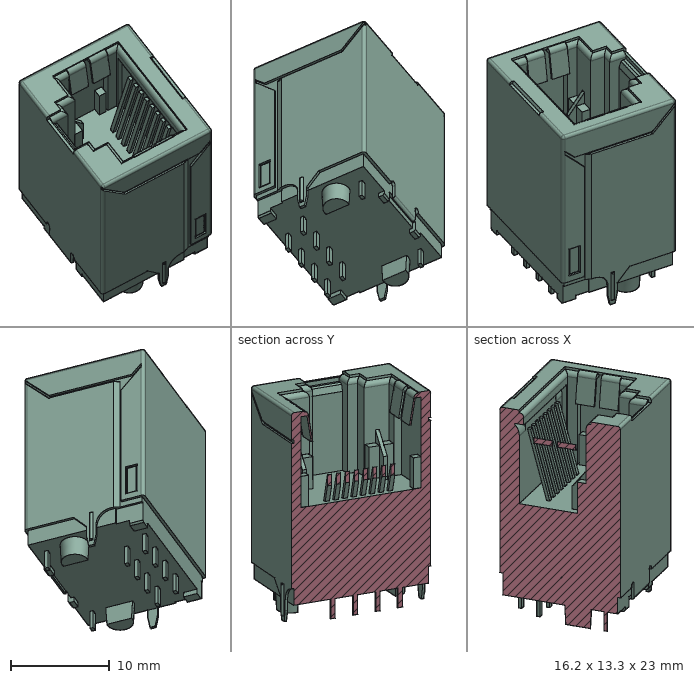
import cadquery as cq
import math


WIDTH = 15.8
DEPTH = 13.3
HEIGHT = 22.97
SHEET = 0.28
WALL = 0.32
BEND_RADIUS = 0.32
SHIELD_BOTTOM = 4.02
BACK_BOTTOM = 4.62
SIDE_X = WIDTH / 2
FRONT_Y = -DEPTH / 2
BACK_Y = DEPTH / 2
GROOVE_DEPTH = 0.25

HOUSING_FRONT_X = SIDE_X - SHEET
HOUSING_REAR_X = 7.45
HOUSING_SPLIT_Y = 3.38
HOUSING_FRONT_Y = FRONT_Y + WALL
HOUSING_BACK_Y = BACK_Y - WALL
HOUSING_TOP = HEIGHT - SHEET
HOUSING_BOTTOM = 2.2
FOOT_BOTTOM = 1.65
FOOT_CHAMFER = 0.18

TONGUE_X = 1.98

MOUTH_X = 6.45
MOUTH_STEP_X = 3.63
LATCH_X = 2.5
MOUTH_BACK_Y = 4.5
MOUTH_FRONT_Y = -3.38
MOUTH_STEP_Y = -4.96
LIP_RADIUS = 0.53
SOCKET_FLOOR = 12.63
LATCH_NOTCH_Z = 22.42
SOCKET_X = MOUTH_X - LIP_RADIUS
SOCKET_BACK_Y = MOUTH_BACK_Y - LIP_RADIUS
SOCKET_FRONT_Y = MOUTH_FRONT_Y + LIP_RADIUS

FINGER_WIDTH = 2.05
FINGER_STARTS = (-1.75, 0.87)
FINGER_REACH_X = 5.45
FINGER_BOTTOM = 19.52
FINGER_SHEET = 0.23
POCKET_X = 6.78

CONTACT_COUNT = 8
CONTACT_SPAN = 7.15
CONTACT_PITCH = CONTACT_SPAN / (CONTACT_COUNT - 1)
CONTACT_WIDTH = 0.48
CONTACT_SHEET = 0.35
CONTACT_TOP = 20.21
CONTACT_FRONT_Y = 1.85

PIN_SPAN = 8.9
PIN_PITCH = PIN_SPAN / (CONTACT_COUNT - 1)
PIN_WIDTH = 0.55
PIN_SHEET = 0.37
PIN_BOTTOM = 0.1
PIN_ROWS_Y = (2.73, 5.28)
LED_PIN_X = 5.72
LED_PIN_Y = -5.0

PEG_X = 5.72
PEG_Y = -1.98
PEG_FLAT_X = 5.51
PEG_TOP_RADIUS = 1.5
PEG_TIP_RADIUS = 1.38


def block(x0, x1, y0, y1, z0, z1):
    return cq.Workplane("XY").box(x1 - x0, y1 - y0, z1 - z0, centered=False).translate((x0, y0, z0))


def both_sides(shape):
    return shape.union(shape.mirror("YZ"))


def mouth_points(inset, front_y):
    """Stepped socket outline, pulled inward by the inset and running out at front_y."""
    right = [
        (LATCH_X - inset, front_y),
        (LATCH_X - inset, MOUTH_STEP_Y + inset),
        (MOUTH_STEP_X - inset, MOUTH_STEP_Y + inset),
        (MOUTH_STEP_X - inset, MOUTH_FRONT_Y + inset),
        (MOUTH_X - inset, MOUTH_FRONT_Y + inset),
        (MOUTH_X - inset, MOUTH_BACK_Y - inset),
    ]
    return right + [(-x, y) for x, y in reversed(right)]


def make_housing():
    front = block(-HOUSING_FRONT_X, HOUSING_FRONT_X, HOUSING_FRONT_Y, HOUSING_SPLIT_Y,
                  HOUSING_BOTTOM, HOUSING_TOP)
    rear = block(-HOUSING_REAR_X, HOUSING_REAR_X, HOUSING_SPLIT_Y, HOUSING_BACK_Y,
                 HOUSING_BOTTOM, HOUSING_TOP)
    housing = front.union(rear)
    socket = (cq.Workplane("XY").workplane(offset=SOCKET_FLOOR)
              .polyline(mouth_points(LIP_RADIUS, FRONT_Y)).close().extrude(HEIGHT - SOCKET_FLOOR))
    housing = housing.cut(socket)
    margin = 0.02
    lip_box = cq.selectors.BoxSelector(
        (-MOUTH_X, HOUSING_FRONT_Y + margin, HOUSING_TOP - margin),
        (MOUTH_X, MOUTH_BACK_Y, HOUSING_TOP + margin))
    housing = housing.edges(lip_box).fillet(LIP_RADIUS)
    return housing.union(make_latch_sill())


def make_latch_sill():
    """Wall closing the front of the latch channel, with a bevelled inner edge."""
    sill_top = 21.95
    inner_y = -5.51
    profile = [
        (HOUSING_FRONT_Y, HOUSING_BOTTOM),
        (HOUSING_FRONT_Y, sill_top),
        (inner_y - 0.48, sill_top),
        (inner_y - 0.23, sill_top - 0.14),
        (inner_y, sill_top - 0.83),
        (inner_y, HOUSING_BOTTOM),
    ]
    return cq.Workplane("YZ").polyline(profile).close().extrude(LATCH_X, both=True)


def make_side_pocket():
    """Recess beside the socket for the spring fingers, with a stop block left standing in it."""
    y_start = FINGER_STARTS[0]
    y_end = FINGER_STARTS[-1] + FINGER_WIDTH
    pocket = block(FINGER_REACH_X, POCKET_X, y_start, y_end, SOCKET_FLOOR, HOUSING_TOP)
    stop_front_y, stop_back_y, stop_top = 1.88, 2.7, 15.96
    stop = block(SOCKET_X, POCKET_X, stop_front_y, stop_back_y, SOCKET_FLOOR, stop_top)
    return both_sides(pocket.cut(stop))


def make_contact_recess():
    """Shallow recess in the rear socket wall, scooped deeper over a rounded sill at its upper corners."""
    half_width = 5.63
    top = 21.36
    wall_y = SOCKET_BACK_Y + 0.48
    recess = block(-half_width, half_width, SOCKET_BACK_Y, wall_y, SOCKET_FLOOR, top)
    scoop_inner_x, scoop_bottom, scoop_depth = 3.97, 20.1, 0.6
    rise = top - scoop_bottom
    scoop = (cq.Workplane("YZ", origin=(scoop_inner_x, 0, 0)).moveTo(wall_y, scoop_bottom)
             .threePointArc((wall_y + 0.3 * scoop_depth, scoop_bottom + 0.6 * rise),
                            (wall_y + scoop_depth, top))
             .lineTo(wall_y, top).close().extrude(half_width - scoop_inner_x))
    return recess.union(both_sides(scoop))


def make_socket_ledges():
    """Front corner ledges, each with a slim sloping rib across its top."""
    ledge_inner_x, ledge_back_y, ledge_top = 3.2, -1.88, 16.08
    ledge = block(ledge_inner_x, SOCKET_X, SOCKET_FRONT_Y, ledge_back_y, SOCKET_FLOOR, ledge_top)
    rib_x, rib_width, rib_back_y = 4.36, 0.44, -1.0
    rib_front_top, rib_back_top = 17.45, 15.15
    rib = (cq.Workplane("YZ", origin=(rib_x, 0, 0))
           .polyline([(SOCKET_FRONT_Y, SOCKET_FLOOR), (SOCKET_FRONT_Y, rib_front_top),
                      (rib_back_y, rib_back_top), (rib_back_y, SOCKET_FLOOR)])
           .close().extrude(rib_width))
    return both_sides(ledge.union(rib))


def make_contacts():
    profile = [
        (SOCKET_BACK_Y, CONTACT_TOP),
        (SOCKET_BACK_Y + CONTACT_SHEET, CONTACT_TOP),
        (CONTACT_FRONT_Y + CONTACT_SHEET, SOCKET_FLOOR),
        (CONTACT_FRONT_Y, SOCKET_FLOOR),
    ]
    bar = cq.Workplane("YZ").polyline(profile).close().extrude(CONTACT_WIDTH / 2, both=True)
    contacts = cq.Workplane("XY")
    for i in range(CONTACT_COUNT):
        contacts = contacts.union(bar.translate((i * CONTACT_PITCH - CONTACT_SPAN / 2, 0, 0)))
    return contacts


def make_feet():
    front_outer_x, front_back_y = 3.54, -5.65
    rear_inner_x, rear_front_y = 6.25, 4.82
    front = block(LATCH_X, front_outer_x, HOUSING_FRONT_Y, front_back_y, FOOT_BOTTOM, HOUSING_BOTTOM)
    front = front.edges("<Y and <Z").chamfer(FOOT_CHAMFER)
    rear = block(rear_inner_x, HOUSING_REAR_X, rear_front_y, HOUSING_BACK_Y, FOOT_BOTTOM, HOUSING_BOTTOM)
    rear = rear.edges(">X and <Z").chamfer(FOOT_CHAMFER)
    return both_sides(front.union(rear))


def make_pegs():
    """Tapered pegs cut flat on their inner side."""
    peg = (cq.Workplane("XY", origin=(PEG_X, PEG_Y, HOUSING_BOTTOM)).circle(PEG_TOP_RADIUS)
           .workplane(offset=PIN_BOTTOM - HOUSING_BOTTOM).circle(PEG_TIP_RADIUS).loft())
    kept_half = block(PEG_FLAT_X, SIDE_X, FRONT_Y, BACK_Y, PIN_BOTTOM, HOUSING_BOTTOM)
    return both_sides(peg.intersect(kept_half))


def make_pins():
    """Two staggered rows of signal pins plus one pin at each front corner."""
    places = [(i * PIN_PITCH - PIN_SPAN / 2, PIN_ROWS_Y[i % 2]) for i in range(CONTACT_COUNT)]
    places += [(-LED_PIN_X, LED_PIN_Y), (LED_PIN_X, LED_PIN_Y)]
    return (cq.Workplane("XY").workplane(offset=PIN_BOTTOM).pushPoints(places)
            .rect(PIN_WIDTH, PIN_SHEET).extrude(HOUSING_BOTTOM - PIN_BOTTOM))


def make_shield():
    """Outer skin of the shield with its mouth, latch notch and shorter back."""
    shield = block(-SIDE_X, SIDE_X, FRONT_Y, BACK_Y, SHIELD_BOTTOM, HEIGHT)
    shield = shield.edges("|Z or >Z").fillet(BEND_RADIUS)
    shield = shield.cut(block(-SIDE_X, SIDE_X, HOUSING_BACK_Y, BACK_Y, SHIELD_BOTTOM, BACK_BOTTOM))
    inner = block(-HOUSING_REAR_X, HOUSING_REAR_X, HOUSING_FRONT_Y, HOUSING_BACK_Y,
                  SHIELD_BOTTOM, HOUSING_TOP)
    shield = shield.cut(inner)
    mouth = (cq.Workplane("XY").workplane(offset=LATCH_NOTCH_Z)
             .polyline(mouth_points(0, FRONT_Y)).close().extrude(HEIGHT - LATCH_NOTCH_Z))
    return shield.cut(mouth)


def make_side_grooves():
    """Layer removed from each side, parting the roof apron, the main panel and the back flap."""
    base_x = SIDE_X - GROOVE_DEPTH
    past_front = FRONT_Y - 0.23
    bend_y = -3.88
    panel_top = 19.69
    apron_bottom, apron_back_bottom = 20.0, 21.06
    apron_rear_y = 5.25
    panel_foot_y, panel_crest_y = 3.88, 3.25
    flap_edge_y, flap_edge_top, flap_back_top = 4.07, 18.35, 20.67
    diagonal_rise = bend_y - past_front

    def panel_outline(rear_y):
        return [(past_front, SHIELD_BOTTOM), (past_front, panel_top + diagonal_rise),
                (bend_y, panel_top), (rear_y, panel_top), (rear_y, SHIELD_BOTTOM)]

    sheet = cq.Workplane("YZ", origin=(base_x, 0, 0))
    panel = (sheet.polyline(panel_outline(panel_foot_y)).close().workplane(offset=GROOVE_DEPTH)
             .polyline(panel_outline(panel_crest_y)).close().loft(ruled=True))
    flap = (sheet.polyline([(HOUSING_BACK_Y, flap_back_top), (flap_edge_y, flap_edge_top),
                            (flap_edge_y, BACK_BOTTOM), (HOUSING_BACK_Y, BACK_BOTTOM)])
            .close().extrude(GROOVE_DEPTH))
    apron = (sheet.polyline([(past_front, HEIGHT), (past_front, apron_bottom + diagonal_rise),
                             (bend_y, apron_bottom), (apron_rear_y, apron_bottom),
                             (HOUSING_BACK_Y, apron_back_bottom), (HOUSING_BACK_Y, HEIGHT)])
             .close().extrude(GROOVE_DEPTH))
    layer = block(base_x, SIDE_X, FRONT_Y, HOUSING_BACK_Y, SHIELD_BOTTOM, HEIGHT)
    return both_sides(layer.cut(panel).cut(flap).cut(apron))


def make_flap_windows():
    """Latch windows through the back flaps, each around a raised catch."""
    depth = GROOVE_DEPTH
    rim = 0.15
    y0, y1, z0, z1 = 4.57, 5.88, 5.33, 8.65
    window = block(SIDE_X - depth, SIDE_X, y0, y1, z0, z1)
    catch = block(SIDE_X - depth, SIDE_X - depth / 2, y0 + rim, y1 - rim, z0 + rim / 2, z1 - rim / 2)
    return both_sides(window.cut(catch))


def make_fingers():
    """Spring fingers rolled over the mouth edge and slanting into the socket."""
    bend_x = MOUTH_X - LIP_RADIUS
    roof_clearance = 0.1
    roll_top = HEIGHT - roof_clearance
    bend_z = roll_top - LIP_RADIUS
    mid = LIP_RADIUS * math.sqrt(0.5)
    profile = (cq.Workplane("XZ").moveTo(POCKET_X, roll_top).lineTo(MOUTH_X, roll_top)
               .threePointArc((MOUTH_X - mid, bend_z + mid), (bend_x, bend_z))
               .lineTo(FINGER_REACH_X, FINGER_BOTTOM)
               .lineTo(FINGER_REACH_X + FINGER_SHEET, FINGER_BOTTOM)
               .lineTo(bend_x + FINGER_SHEET, bend_z)
               .lineTo(POCKET_X, bend_z).close())
    finger = profile.extrude(-FINGER_WIDTH)
    pair = cq.Workplane("XY")
    for y_start in FINGER_STARTS:
        pair = pair.union(finger.translate((0, y_start, 0)))
    return both_sides(pair)


def make_ground_tabs():
    """Tapered solder tab below each side wall, stiffened by a pressed rib."""
    rear_y, front_y = 1.33, 0.25
    tip_rear_y, tip_front_y = 1.08, 0.5
    gusset_y, gusset_bottom = -1.17, 2.48
    taper_z = 1.26
    corner = 1.58
    arc_mid = corner * (1 - math.sqrt(0.5))
    sheet_x = SIDE_X - SHEET
    tab = (cq.Workplane("YZ", origin=(sheet_x, 0, 0))
           .moveTo(rear_y + corner, SHIELD_BOTTOM)
           .threePointArc((rear_y + arc_mid, SHIELD_BOTTOM - arc_mid), (rear_y, SHIELD_BOTTOM - corner))
           .lineTo(rear_y, taper_z).lineTo(tip_rear_y, 0).lineTo(tip_front_y, 0).lineTo(front_y, taper_z)
           .lineTo(front_y, gusset_bottom).lineTo(gusset_y, SHIELD_BOTTOM).close().extrude(SHEET))
    rib_height = 0.218
    rib_width = 0.4
    rib_y, rib_bottom = 0.62, 0.57
    rib = block(sheet_x, SIDE_X + rib_height, rib_y, rib_y + rib_width, rib_bottom, SHIELD_BOTTOM)
    rib = rib.edges(">X and (>Z or <Z)").chamfer(0.5 * rib_height)
    rib = rib.edges(">X and |Z").fillet(0.48 * rib_width)
    return both_sides(tab.union(rib))


def make_front_tab():
    """Tongue at the bottom of the front wall, folded in below its lower edge."""
    tongue_bottom = 2.43
    fold_radius = 0.3
    tab = block(-TONGUE_X, TONGUE_X, FRONT_Y, HOUSING_FRONT_Y, tongue_bottom, SHIELD_BOTTOM)
    return tab.edges("<Y and <Z").fillet(fold_radius)


def make_front_reliefs():
    """Round-topped bend reliefs on both sides of the front tongue."""
    inner_x, outer_x = TONGUE_X, 2.57
    radius = (outer_x - inner_x) / 2
    top = 4.45
    slot = block(inner_x, outer_x, FRONT_Y, HOUSING_FRONT_Y, SHIELD_BOTTOM, top)
    slot = slot.edges("|Y and >Z").fillet(0.95 * radius)
    return both_sides(slot)


def make_front_recess():
    """Step in the housing behind the folded end of the front tongue."""
    top = 2.92
    return block(-LATCH_X, LATCH_X, HOUSING_FRONT_Y, HOUSING_FRONT_Y + WALL, HOUSING_BOTTOM, top)


def add_back_tongue(body):
    """Square-edged tongue of the back wall, lying in a bevelled step at the rear edge of the roof."""
    half_width = 3.03
    foot_y, crest_y = 6.32, 6.13
    tongue = block(-half_width, half_width, foot_y, BACK_Y, HOUSING_TOP - SHEET, HOUSING_TOP)
    step = (cq.Workplane("YZ")
            .polyline([(foot_y, HOUSING_TOP), (crest_y, HEIGHT), (BACK_Y, HEIGHT), (BACK_Y, HOUSING_TOP)])
            .close().extrude(half_width, both=True))
    return body.cut(step).union(tongue)


housing = make_housing().cut(make_side_pocket()).cut(make_contact_recess()).cut(make_front_recess())
housing = housing.union(make_socket_ledges()).union(make_contacts())
housing = housing.union(make_feet()).union(make_pegs()).union(make_pins())

shield = make_shield().cut(make_side_grooves()).cut(make_flap_windows()).cut(make_front_reliefs())
shield = shield.union(make_fingers()).union(make_ground_tabs()).union(make_front_tab())

result = add_back_tongue(housing.union(shield))